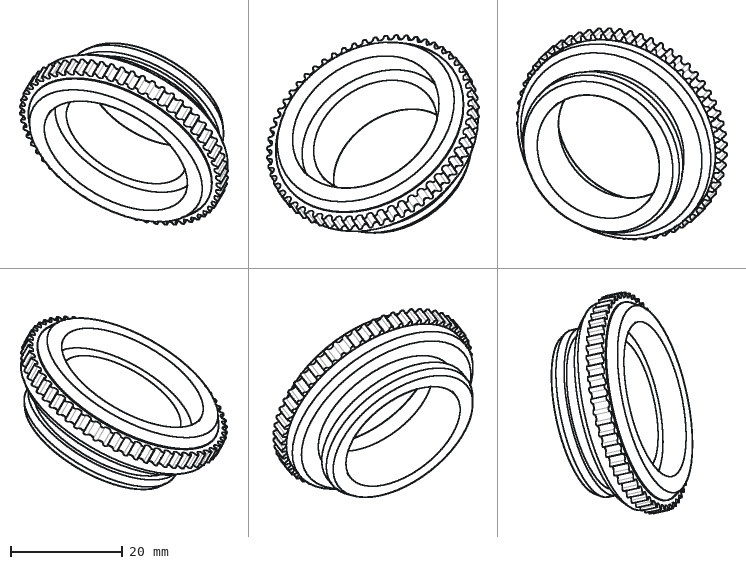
import cadquery as cq
import math

length = 14.0
size = 39.95

cone_front_radius = 17.18
cone_back_radius = 18.2
cone_length = 1.7

grip_front_y = 1.9
tooth_count = 60
tip_round_radius = 0.4
root_radius = 19.05
grip_width = 3.0

shoulder_radius = 18.98
shoulder_back_y = 8.15
shoulder_chamfer = 1.2

groove_radius = 14.25
rim_radius = 15.4
rim_length = 2.8
rim_chamfer_radial = 0.7
rim_chamfer_axial = 1.2

bore_radius = 12.0
counterbore_radius = 14.22
counterbore_depth = 4.5


def polar(radius, angle):
    """Point at a radius and angle (radians) around the ring's axis."""
    return (radius * math.cos(angle), radius * math.sin(angle))


def make_body():
    """Revolve the half section, given as (radius, y) points."""
    rim_front_y = length - rim_length
    section = [
        (bore_radius, counterbore_depth),
        (counterbore_radius, counterbore_depth),
        (counterbore_radius, 0),
        (cone_front_radius, 0),
        (cone_back_radius, cone_length),
        (cone_back_radius, grip_front_y),
        (shoulder_radius, grip_front_y),
        (shoulder_radius, shoulder_back_y - shoulder_chamfer),
        (shoulder_radius - shoulder_chamfer, shoulder_back_y),
        (groove_radius, shoulder_back_y),
        (groove_radius, rim_front_y),
        (rim_radius, rim_front_y),
        (rim_radius, length - rim_chamfer_axial),
        (rim_radius - rim_chamfer_radial, length),
        (bore_radius, length),
    ]
    return cq.Workplane("XY").polyline(section).close().revolve(360, (0, 0), (0, 1))


def make_grip():
    """Extrude the wavy ring of rounded teeth, with a gap centred on each axis."""
    pitch = 2 * math.pi / tooth_count
    tooth_centre_radius = (size / 2 - tip_round_radius) / math.cos(pitch / 2)
    tip_radius = tooth_centre_radius + tip_round_radius
    half_tooth = math.asin(tip_round_radius / tooth_centre_radius)

    outline = cq.Workplane("XZ", origin=(0, grip_front_y, 0))
    outline = outline.moveTo(*polar(tooth_centre_radius, pitch / 2 - half_tooth))
    for i in range(tooth_count):
        tooth_angle = (i + 0.5) * pitch
        gap_angle = (i + 1) * pitch
        tooth_end = polar(tooth_centre_radius, tooth_angle + half_tooth)
        next_tooth_start = polar(tooth_centre_radius, tooth_angle + pitch - half_tooth)
        outline = outline.threePointArc(polar(tip_radius, tooth_angle), tooth_end)
        outline = outline.threePointArc(polar(root_radius, gap_angle), next_tooth_start)
    outline = outline.close()
    hole_radius = (counterbore_radius + root_radius) / 2
    return outline.moveTo(0, 0).circle(hole_radius).extrude(-grip_width)


result = make_body().union(make_grip())